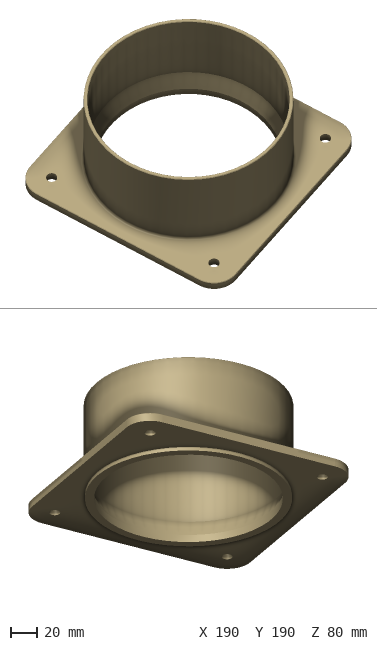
import cadquery as cq

edge_chamfer = 0.5

flange_side = 190.0
flange_thickness = 7.0
corner_radius = 20.0

overall_height = 80.0
spigot_depth = 3.0
tube_top = overall_height - spigot_depth

tube_radius = 160.0 / 2
spigot_radius = 158.0 / 2
bore_radius = 154.0 / 2
throat_radius = 144.0 / 2
base_fillet = 2.0

throat_top = 3.0
cone_height = 13.9
cone_top = throat_top + cone_height

hole_diameter = 8.5
hole_spacing = flange_side - 2 * corner_radius


def make_flange():
    plate = cq.Workplane("XY").rect(flange_side, flange_side).extrude(flange_thickness)
    plate = plate.edges("|Z").fillet(corner_radius)
    return plate.faces(">Z").edges().chamfer(edge_chamfer)


def make_tube():
    tube = cq.Workplane("XY").circle(tube_radius).extrude(tube_top)
    return tube.faces(">Z").edges().chamfer(edge_chamfer)


def make_base_fillet():
    """Concave ring blending the tube into the flange."""
    outer_radius = tube_radius + base_fillet
    fillet_top = flange_thickness + base_fillet
    arc_reach = base_fillet * (1 - 0.5 ** 0.5)
    profile = (
        cq.Workplane("XZ")
        .moveTo(throat_radius, 0)
        .lineTo(outer_radius, 0)
        .lineTo(outer_radius, flange_thickness)
        .threePointArc(
            (tube_radius + arc_reach, flange_thickness + arc_reach),
            (tube_radius, fillet_top),
        )
        .lineTo(throat_radius, fillet_top)
        .close()
    )
    return profile.revolve(360, (0, 0, 0), (0, 1, 0))


def make_spigot():
    return cq.Workplane("XY").circle(spigot_radius).extrude(-spigot_depth)


def make_bore():
    """Throat, conical step and wide bore with a chamfered mouth."""
    profile = (
        cq.Workplane("XZ")
        .moveTo(0, -spigot_depth)
        .lineTo(throat_radius, -spigot_depth)
        .lineTo(throat_radius, throat_top)
        .lineTo(bore_radius, cone_top)
        .lineTo(bore_radius, tube_top - edge_chamfer)
        .lineTo(bore_radius + edge_chamfer, tube_top)
        .lineTo(0, tube_top)
        .close()
    )
    return profile.revolve(360, (0, 0, 0), (0, 1, 0))


def make_holes():
    return (
        cq.Workplane("XY")
        .rect(hole_spacing, hole_spacing, forConstruction=True)
        .vertices()
        .circle(hole_diameter / 2)
        .extrude(flange_thickness)
    )


body = make_flange().union(make_tube()).union(make_base_fillet()).union(make_spigot())
result = body.cut(make_bore()).cut(make_holes())